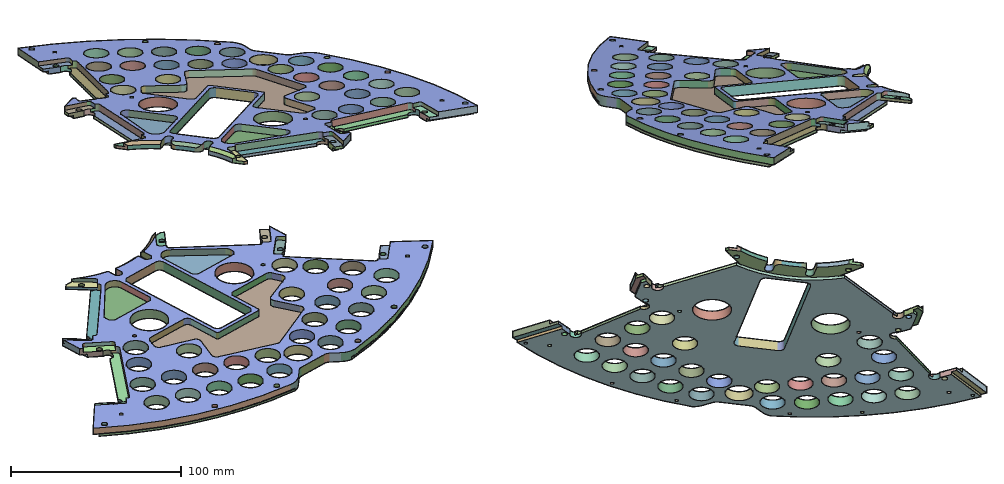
import cadquery as cq
import math

THICKNESS = 6.3
STEP_LEVEL = 1.88
TAB_LEVEL = 3.7
OVERSHOOT = 2.9

OUTER_RADIUS = 224.2
RIM_RADIUS = 59.5
HALF_SPAN = 142.8
BOTTOM_Y = 49.7
SIDE_TIP = (-119.6, 151.5)
HIP_TOP = (-86.5, 106.5)
HIP_BOTTOM = (-86.5, 92.5)
HIP_TIP = (-83.0, 89.5)
TOE_TIP = (-42.0, 51.5)
TOE_BOTTOM = (-39.7, BOTTOM_Y)

RECESS_Y = 214.0
RECESS_FLOOR_X = -11.5
RECESS_MOUTH_X = -22.0
RECESS_MOUTH_FILLET = 12.3
RECESS_FLOOR_FILLET = 5.0

BEVEL_WIDTH = 2.3
BEVEL_HEIGHT = 1.7
SLOT_X = -12.3
SLOT_RADIUS = 2.5
SLOT_END_Y = 68.0
RIM_CORNER_FILLET = 3.5

EDGE_REBATE = 3.5
ARC_REBATE = 0.5
RIM_REBATE_RADIUS = 70.5

BAY_LENGTH = 56.0
BAY_REACH = 34.3
LEDGE_WIDTH = 6.3
LEDGE_FILLET = 1.7
RELIEF_RADIUS = 3.5
RELIEF_FROM_END = 2.5
RELIEF_OUT = 7.5
SEAT_DEPTH = 5.7
SEAT_START = 2.3
CLOSED_SEAT_END = 21.5
SEAT_FILLET = 1.7
TAB_HOLE_RADIUS = 1.7
TAB_HOLE_BEYOND = 2.3
TAB_HOLE_OUT = 11.7

BAYS = [((-104.0, 165.0), -50.6, CLOSED_SEAT_END, True), ((-69.5, 104.0), -41.7, BAY_REACH, False)]

WINDOW_HALF_WIDTH = 15.0
WINDOW_BOTTOM_Y = 72.8
WINDOW_TOP_Y = 150.2
WINDOW_FILLET = 3.5
WINDOW_WALL = 2.5
POCKET_LEFT = [(-38.5, 170.0), (-29.5, 148.8), (-54.8, 138.5), (-50.5, 128.0)]
POCKET_APEX_Y = 186.2
POCKET_FILLET = 3.0
TRIANGLE_TOP_Y = 99.7
TRIANGLE_LEFT = (-52.3, 93.0)
TRIANGLE_TIP_Y = 60.5
TRIANGLE_FILLET = 3.5
TRIANGLE_TIP_FILLET = 5.7

LIGHTENING_RADIUS = 7.5
ROW_ANGLE = 22.5
ROW_PITCH = 20.0
OUTER_ROW_START = (-96.5, 180.0)
OUTER_ROW_COUNT = 4
INNER_ROW_START = (-88.2, 160.2)
INNER_ROW_COUNT = 5
LOOSE_HOLES = [(-21.5, 207.3), (-74.2, 143.4), (-62.5, 129.5), (-43.0, 154.2)]
TOP_HOLE_Y = 201.5
TOP_HOLE_RADIUS = 8.3
LARGE_HOLE = (-35.7, 114.2)
LARGE_HOLE_RADIUS = 11.5
PIN_HOLES = [(-120.2, 174.0), (-54.0, 120.0)]
PIN_RADIUS = 1.0
ARC_HOLE_CIRCLE = 220.2
ARC_HOLE_ANGLES = [37.7, 20.0, 8.9]
ARC_HOLE_RADIUS = 1.0
ARC_BORE_RADIUS = 1.7
ARC_BORE_DEPTH = 2.0


def prism(points, bottom, top, fillet=0):
    """Upright prism over a closed outline, with equal corner fillets if asked for."""
    body = cq.Workplane("XY").workplane(offset=bottom).polyline(points).close().extrude(top - bottom)
    return body.edges("|Z").fillet(fillet) if fillet else body


def pins(centres, radius, bottom=-OVERSHOOT, top=THICKNESS + OVERSHOOT):
    """Upright cylinders."""
    return cq.Workplane("XY").workplane(offset=bottom).pushPoints(centres).circle(radius).extrude(top - bottom)


def both_sides(body):
    """The body together with its mirror image on the right."""
    return body.union(body.mirror("YZ"))


def on_circle(radius, x):
    return (x, math.sqrt(radius**2 - x**2))


def fillet_at(body, point, radius):
    """Fillet the upright edge that passes nearest to a point in plan."""
    return body.edges("|Z").edges(cq.NearestToPointSelector((*point, THICKNESS / 2))).fillet(radius)


def half_plate():
    mouth = on_circle(OUTER_RADIUS, RECESS_MOUTH_X)
    floor_end = (RECESS_FLOOR_X, RECESS_Y)
    rim_end = (-math.sqrt(RIM_RADIUS**2 - BOTTOM_Y**2), BOTTOM_Y)
    outline = (
        cq.Workplane("XY")
        .moveTo(0, RECESS_Y)
        .lineTo(*floor_end)
        .lineTo(*mouth)
        .threePointArc(on_circle(OUTER_RADIUS, -HALF_SPAN / 2), on_circle(OUTER_RADIUS, -HALF_SPAN))
    )
    for corner in [SIDE_TIP, HIP_TOP, HIP_BOTTOM, HIP_TIP, TOE_TIP, TOE_BOTTOM, rim_end]:
        outline = outline.lineTo(*corner)
    outline = outline.threePointArc(on_circle(RIM_RADIUS, rim_end[0] / 2), (0, RIM_RADIUS)).close()
    plate = outline.extrude(THICKNESS)
    plate = fillet_at(plate, mouth, RECESS_MOUTH_FILLET)
    return fillet_at(plate, floor_end, RECESS_FLOOR_FILLET)


def rim_slot():
    floor_y = RIM_RADIUS - 2 * SLOT_RADIUS - OVERSHOOT
    straight = prism(
        [
            (SLOT_X - SLOT_RADIUS, floor_y),
            (SLOT_X + SLOT_RADIUS, floor_y),
            (SLOT_X + SLOT_RADIUS, SLOT_END_Y - SLOT_RADIUS),
            (SLOT_X - SLOT_RADIUS, SLOT_END_Y - SLOT_RADIUS),
        ],
        -OVERSHOOT,
        THICKNESS + OVERSHOOT,
    )
    return straight.union(pins([(SLOT_X, SLOT_END_Y - SLOT_RADIUS)], SLOT_RADIUS))


def rim_bevel():
    """Cone that widens upwards and takes the top edge off the inner rim."""
    return cq.Workplane("XY").add(
        cq.Solid.makeCone(
            RIM_RADIUS,
            RIM_RADIUS + BEVEL_WIDTH,
            BEVEL_HEIGHT,
            pnt=cq.Vector(0, 0, THICKNESS - BEVEL_HEIGHT),
        )
    )


def edge_rebate(start, end):
    """Strip under a straight outer edge; the plate lies to the left of start -> end."""
    length = math.dist(start, end)
    along = ((end[0] - start[0]) / length, (end[1] - start[1]) / length)

    def at(distance, inward):
        return (
            start[0] + distance * along[0] - inward * along[1],
            start[1] + distance * along[1] + inward * along[0],
        )

    first = -EDGE_REBATE
    last = length + EDGE_REBATE
    corners = [
        at(first, -EDGE_REBATE),
        at(last, -EDGE_REBATE),
        at(last, EDGE_REBATE),
        at(first, EDGE_REBATE),
    ]
    return prism(corners, -OVERSHOOT, STEP_LEVEL)


def cut_bay(plate, corner, angle, lower_seat_end, lower_relief):
    """Open one side bay, leaving a ledge along it and a seat on the tab at each end."""
    turn = math.radians(angle)

    def at(distance, outward):
        return (
            corner[0] + distance * math.cos(turn) + outward * math.sin(turn),
            corner[1] + distance * math.sin(turn) - outward * math.cos(turn),
        )

    def block(first, last, inner, outer, floor, fillet=0):
        corners = [at(first, inner), at(first, outer), at(last, outer), at(last, inner)]
        return prism(corners, floor, THICKNESS + OVERSHOOT, fillet)

    plate = plate.cut(block(0, BAY_LENGTH, LEDGE_WIDTH, BAY_REACH, -OVERSHOOT))
    plate = plate.cut(block(0, BAY_LENGTH, 0, BAY_REACH, STEP_LEVEL, LEDGE_FILLET))
    overlap = 2 * SEAT_FILLET
    plate = plate.cut(block(-SEAT_DEPTH, overlap, SEAT_START, BAY_REACH, TAB_LEVEL, SEAT_FILLET))
    lower_end = BAY_LENGTH + SEAT_DEPTH
    plate = plate.cut(
        block(BAY_LENGTH - overlap, lower_end, SEAT_START, lower_seat_end, TAB_LEVEL, SEAT_FILLET)
    )
    reliefs = [at(RELIEF_FROM_END, RELIEF_OUT)]
    if lower_relief:
        reliefs.append(at(BAY_LENGTH - RELIEF_FROM_END, RELIEF_OUT))
    plate = plate.cut(pins(reliefs, RELIEF_RADIUS))
    tab_holes = [at(-TAB_HOLE_BEYOND, TAB_HOLE_OUT), at(BAY_LENGTH + TAB_HOLE_BEYOND, TAB_HOLE_OUT)]
    return plate.cut(pins(tab_holes, TAB_HOLE_RADIUS))


def main_pocket():
    """Pocket above the window, leaving a thin wall around the window's upper end."""
    right = [(-x, y) for x, y in reversed(POCKET_LEFT)]
    pocket = prism(
        [(0, POCKET_APEX_Y)] + POCKET_LEFT + right, STEP_LEVEL, THICKNESS + OVERSHOOT, POCKET_FILLET
    )
    half = WINDOW_HALF_WIDTH + WINDOW_WALL
    top = WINDOW_TOP_Y + WINDOW_WALL
    floor_y = POCKET_LEFT[-1][1]
    island = prism(
        [(-half, WINDOW_BOTTOM_Y), (half, WINDOW_BOTTOM_Y), (half, top), (-half, top)],
        0,
        THICKNESS + OVERSHOOT,
    ).edges("|Z and >Y").fillet(WINDOW_WALL / 2)
    pocket = pocket.cut(island)
    for x in (-half, half):
        pocket = fillet_at(pocket, (x, floor_y), POCKET_FILLET)
    return pocket


def triangle_pocket():
    right_x = -WINDOW_HALF_WIDTH - WINDOW_WALL
    tip = (right_x, TRIANGLE_TIP_Y)
    corners = [(TRIANGLE_LEFT[0], TRIANGLE_TOP_Y), TRIANGLE_LEFT, tip, (right_x, TRIANGLE_TOP_Y)]
    pocket = fillet_at(prism(corners, STEP_LEVEL, THICKNESS + OVERSHOOT), tip, TRIANGLE_TIP_FILLET)
    for corner in corners:
        if corner != tip:
            pocket = fillet_at(pocket, corner, TRIANGLE_FILLET)
    return pocket


def window():
    return prism(
        [
            (-WINDOW_HALF_WIDTH, WINDOW_BOTTOM_Y),
            (WINDOW_HALF_WIDTH, WINDOW_BOTTOM_Y),
            (WINDOW_HALF_WIDTH, WINDOW_TOP_Y),
            (-WINDOW_HALF_WIDTH, WINDOW_TOP_Y),
        ],
        -OVERSHOOT,
        THICKNESS + OVERSHOOT,
        WINDOW_FILLET,
    )


def hole_row(start, count):
    slope = math.radians(ROW_ANGLE)
    return [
        (start[0] + i * ROW_PITCH * math.cos(slope), start[1] + i * ROW_PITCH * math.sin(slope))
        for i in range(count)
    ]


half = half_plate()
half = half.cut(rim_slot())
slot_mouth = on_circle(RIM_RADIUS, SLOT_X + SLOT_RADIUS)
half = fillet_at(half, slot_mouth, RIM_CORNER_FILLET)
half = half.cut(rim_bevel())
for bay in BAYS:
    half = cut_bay(half, *bay)

side_corner = on_circle(OUTER_RADIUS, -HALF_SPAN)
for start, end in [(side_corner, SIDE_TIP), (HIP_TOP, HIP_BOTTOM), (HIP_BOTTOM, HIP_TIP)]:
    half = half.cut(edge_rebate(start, end))
half = half.cut(pins([(0, 0)], RIM_REBATE_RADIUS, -OVERSHOOT, STEP_LEVEL))
arc_ring = pins([(0, 0)], OUTER_RADIUS + OVERSHOOT, -OVERSHOOT, STEP_LEVEL).cut(
    pins([(0, 0)], OUTER_RADIUS - ARC_REBATE)
)
half = half.cut(arc_ring)

lightening = (
    hole_row(OUTER_ROW_START, OUTER_ROW_COUNT) + hole_row(INNER_ROW_START, INNER_ROW_COUNT) + LOOSE_HOLES
)
arc_holes = [
    (-ARC_HOLE_CIRCLE * math.sin(math.radians(a)), ARC_HOLE_CIRCLE * math.cos(math.radians(a)))
    for a in ARC_HOLE_ANGLES
]
half = half.cut(pins(lightening, LIGHTENING_RADIUS))
half = half.cut(pins([LARGE_HOLE], LARGE_HOLE_RADIUS))
half = half.cut(pins(PIN_HOLES, PIN_RADIUS))
half = half.cut(pins(arc_holes, ARC_HOLE_RADIUS))
half = half.cut(pins(arc_holes, ARC_BORE_RADIUS, THICKNESS - ARC_BORE_DEPTH))
half = half.cut(triangle_pocket())

result = both_sides(half).cut(window()).cut(main_pocket())
result = result.cut(pins([(0, TOP_HOLE_Y)], TOP_HOLE_RADIUS))